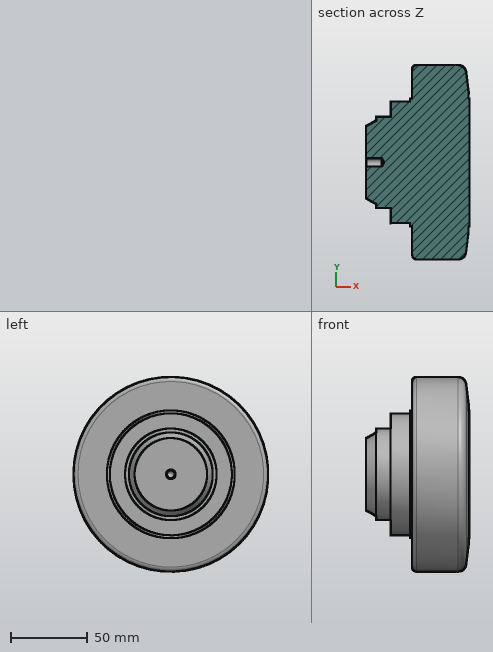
import cadquery as cq
import math

total_length = 67.9

nose_tip_radius = 23.8
nose_base_radius = 27.5
nose_length = 6.6
journal_radius = 30.0
journal_end = 16.2
hub_radius = 40.0
hub_end = 28.8
collar_radius = 41.9

wheel_start = 30.2
wheel_radius = 63.9
inner_rim_fillet = 3.1
outer_rim_fillet = 5.6
disc_radius = collar_radius
disc_height = 0.4
flat_face_radius = 45.0
flat_face_x = total_length - disc_height
face_cone_angle = math.radians(7)

fillet_end_radius = wheel_radius - outer_rim_fillet * (1 - math.sin(face_cone_angle))
fillet_end_x = flat_face_x - (fillet_end_radius - flat_face_radius) * math.tan(face_cone_angle)
fillet_start_x = fillet_end_x - outer_rim_fillet * math.cos(face_cone_angle)

centre_hole_radius = 2.5
countersink_radius = 3.1
countersink_depth = countersink_radius - centre_hole_radius
centre_hole_depth = 10.2
drill_point_angle = math.radians(118)
drill_point_depth = centre_hole_radius / math.tan(drill_point_angle / 2)


def make_body():
    """Revolve the stepped half profile (x, radius) about the X axis."""
    profile = (
        cq.Workplane("XY")
        .moveTo(0, 0)
        .lineTo(0, nose_tip_radius)
        .lineTo(nose_length, nose_base_radius)
        .lineTo(nose_length, journal_radius)
        .lineTo(journal_end, journal_radius)
        .lineTo(journal_end, hub_radius)
        .lineTo(hub_end, hub_radius)
        .lineTo(hub_end, collar_radius)
        .lineTo(wheel_start, collar_radius)
        .lineTo(wheel_start, wheel_radius - inner_rim_fillet)
        .radiusArc((wheel_start + inner_rim_fillet, wheel_radius), inner_rim_fillet)
        .lineTo(fillet_start_x, wheel_radius)
        .radiusArc((fillet_end_x, fillet_end_radius), outer_rim_fillet)
        .lineTo(flat_face_x, flat_face_radius)
        .lineTo(flat_face_x, disc_radius)
        .lineTo(total_length, disc_radius)
        .lineTo(total_length, 0)
        .close()
    )
    return profile.revolve(360, (0, 0, 0), (1, 0, 0))


def make_centre_hole():
    """Revolve the half profile of the hole about the X axis."""
    profile = (
        cq.Workplane("XY")
        .moveTo(0, 0)
        .lineTo(0, countersink_radius)
        .lineTo(countersink_depth, centre_hole_radius)
        .lineTo(centre_hole_depth, centre_hole_radius)
        .lineTo(centre_hole_depth + drill_point_depth, 0)
        .close()
    )
    return profile.revolve(360, (0, 0, 0), (1, 0, 0))


result = make_body().cut(make_centre_hole())